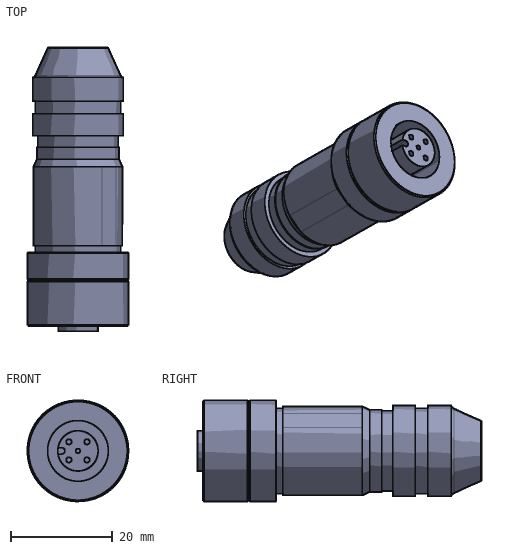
import cadquery as cq
import math

total_length = 56.0
nut_front = 1.05
nut_groove_front = 9.8
nut_groove_rear = 10.35
nut_rear = 15.55
body_front = 16.85
body_rear = 32.5
shoulder_rear = 33.95
collar_rear = 36.35
ring_front = 38.5
ring_rear = 42.95
cap_front = 45.4
cap_rear = 50.05
cone_start = 50.5

nut_radius = 20.0 / 2
nut_groove_radius = 9.75
neck_radius = 8.45
body_radius = 8.8
collar_radius = 8.1
waist_radius = 7.95
cap_radius = 8.95
cap_shoulder_radius = 8.75
cone_base_radius = 8.4
cone_tip_radius = 6.0

nut_chamfer = 0.3
nut_rear_chamfer = 0.15
tip_chamfer = 0.15

flat_distance = 8.55
flat_angle = 45.0

bore_radius = 6.0
bore_floor = 9.8
insert_radius = 4.0
key_radius = 0.6
key_center = 3.2
key_length = 6.7

contact_radius = 0.53
center_contact_radius = 0.45
contact_circle_radius = 2.5
contact_count = 4
contact_depth = 4.5


def axial_cylinder(radius, start, end, x=0.0, z=0.0):
    """Cylinder parallel to Y between two stations."""
    return cq.Workplane("XZ", origin=(x, start, z)).circle(radius).extrude(start - end)


def make_shell():
    """Revolve the outer outline of the nut, body, ring and cable cap."""
    nut_groove_middle = (nut_groove_front + nut_groove_rear) / 2
    outline = [
        (0, nut_front),
        (nut_radius - nut_chamfer, nut_front),
        (nut_radius, nut_front + nut_chamfer),
        (nut_radius, nut_groove_front),
        (nut_groove_radius, nut_groove_middle),
        (nut_radius, nut_groove_rear),
        (nut_radius, nut_rear - nut_rear_chamfer),
        (nut_radius - nut_rear_chamfer, nut_rear),
        (neck_radius, nut_rear),
        (neck_radius, body_front),
        (body_radius, body_front),
        (body_radius, body_rear),
        (collar_radius, shoulder_rear),
        (collar_radius, collar_rear),
        (waist_radius, collar_rear),
        (waist_radius, ring_front),
        (cap_radius, ring_front),
        (cap_radius, ring_rear),
        (neck_radius, ring_rear),
        (neck_radius, cap_front),
        (cap_radius, cap_front),
        (cap_radius, cap_rear),
        (cap_shoulder_radius, cap_rear),
        (cone_base_radius, cone_start),
        (cone_tip_radius, total_length - tip_chamfer),
        (cone_tip_radius - tip_chamfer, total_length),
        (0, total_length),
    ]
    return cq.Workplane("XY").polyline(outline).close().revolve(360, (0, 0, 0), (0, 1, 0))


def cut_flats(shell):
    """Cut the two opposite wrench flats along the full length of the body."""
    flat_length = body_rear - body_front
    for angle in (flat_angle, flat_angle + 180):
        block = (
            cq.Workplane("XY")
            .box(body_radius, flat_length, 2 * body_radius, centered=(False, False, True))
            .translate((flat_distance, body_front, 0))
            .rotate((0, 0, 0), (0, 1, 0), angle - 90)
        )
        shell = shell.cut(block)
    return shell


def make_insert():
    """Contact insert with its keyway on -X and five contact holes."""
    insert = axial_cylinder(insert_radius, 0, bore_floor)
    keyway = axial_cylinder(key_radius, 0, key_length, x=-key_center)
    mouth = cq.Workplane("XY").box(
        insert_radius, key_length, 2 * key_radius, centered=(False, False, True)
    )
    keyway = keyway.union(mouth.translate((-key_center - insert_radius, 0, 0)))
    insert = insert.cut(keyway)
    insert = insert.cut(axial_cylinder(center_contact_radius, 0, contact_depth))
    for index in range(contact_count):
        angle = 2 * math.pi * (index + 0.5) / contact_count
        x = contact_circle_radius * math.cos(angle)
        z = contact_circle_radius * math.sin(angle)
        insert = insert.cut(axial_cylinder(contact_radius, 0, contact_depth, x, z))
    return insert


shell = cut_flats(make_shell())
socket = axial_cylinder(bore_radius, nut_front, bore_floor)
result = shell.cut(socket).union(make_insert())